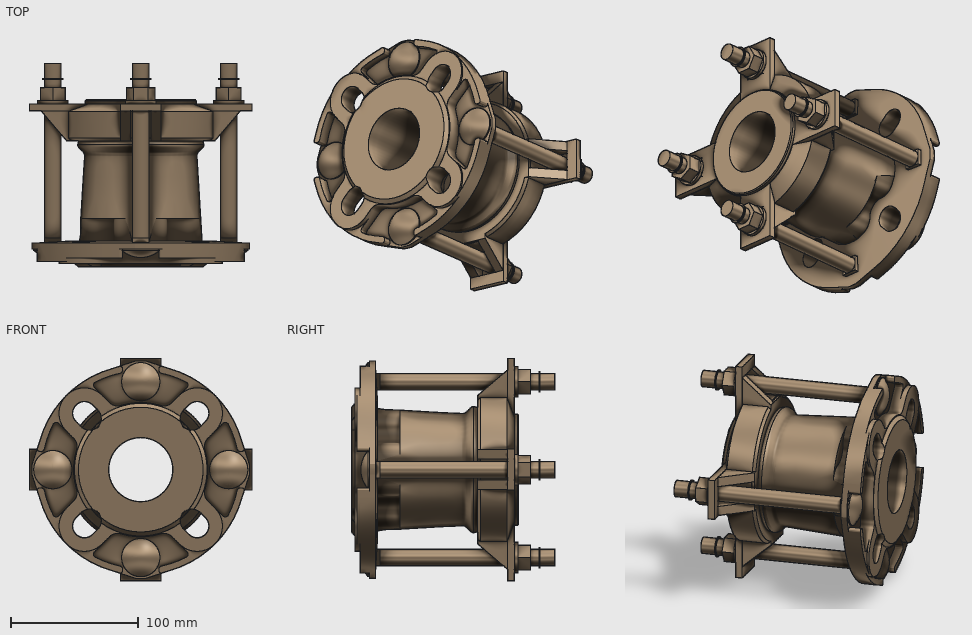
import cadquery as cq
import math


bore_diameter = 50.0
bolt_count = 4
bolt_radius = 68.7
cutter_reach = 104.4
selection_margin = 1.7
diagonal = 45

face_y = 0.0
pad_y = 2.6
side_rim_y = 4.2
end_rim_y = 6.8
pocket_floor_y = 14.0
plate_back_y = 18.8
hub_y = 20.4

flange_radius = 82.1
ear_tip_radius = 85.0
ear_half_width = 22.1
ear_flat_half_width = 4.2
ear_shoulder = 84.9
face_radius = 48.7
face_base_radius = 51.9

back_outer_radius = 80.0
back_hub_radius = 54.0

pocket_inner_radius = 52.5
pocket_outer_radius = 77.0
pocket_opening_half = 14.3
pocket_fillet = 2.6
rim_tip_fillet = 2.0
pad_root_fillet = 8.7
pad_half_width = 19.8
pad_web_radius = 59.2
slot_width = 18.3
slot_inner_centre = 56.5
slot_outer_centre = 62.3

barrel_base_radius = 48.0
barrel_top_radius = 44.0
barrel_top_y = 86.7
neck_radius = 45.5
neck_y = 90.1
collar_diameter = 99.0
collar_low_radius = 48.4
collar_low_y = 93.1
collar_y = 95.5
collar_top_radius = 48.9
collar_top_y = 97.6

recess_top_y = 37.8
recess_offset = 33.2
recess_radius = 12.5
recess_lip_radius = 12.9
recess_lip_slope = 22.0
recess_half_start = 5.2

gland_radius = 58.5
gland_front_y = 98.5
gland_edge_y = 100.7
gland_edge_radius = 56.4
gland_shoulder_y = 121.6
gland_top_radius = 44.0
sleeve_diameter = 87.0
sleeve_y = 130.7
sleeve_chamfer = 0.9

lug_reach = 87.0
lug_half_width = 16.0
lug_inner = 34.8
lug_front_y = 122.0
lug_back_y = 127.4
rib_inner_face = 8.2
rib_outer_face = 15.7
rib_top_reach = 78.0
rib_foot_reach = 58.0

rod_diameter = 13.0
rod_end_y = 159.0
square_neck_y = 22.5
head_diameter = 30.0
head_edge = 1.0
head_apex_y = 7.3
washer_diameter = 24.0
washer_back_y = 130.2
nut_flats = 19.5
nut_back_y = 140.0
ring_diameter = 16.0
ring_y = 146.9
ring_thickness = 0.7


def face_plane(y):
    """XZ work plane at height y; extrusions run toward -Y."""
    return cq.Workplane("XZ", origin=(0, y, 0))


def disc(diameter, front_y, back_y):
    return face_plane(back_y).circle(diameter / 2).extrude(back_y - front_y)


def turned(points):
    """Revolve (radius, y) points about the Y axis."""
    return cq.Workplane("XY").polyline(points).close().revolve(360, (0, 0, 0), (0, 1, 0))


def spin(shape, angle):
    return shape.rotate((0, 0, 0), (0, 1, 0), angle)


def around(shape, start_angle=0.0):
    """Copies of a shape at equal steps about the Y axis."""
    step = 360 / bolt_count
    copies = spin(shape, start_angle)
    for index in range(1, bolt_count):
        copies = copies.union(spin(shape, start_angle + index * step))
    return copies


def quarter_wedge(front_y, back_y):
    """Right-angled wedge from the axis that takes in the quarter facing +Z."""
    outline = [(0, 0), (cutter_reach, cutter_reach), (-cutter_reach, cutter_reach)]
    return face_plane(back_y).polyline(outline).close().extrude(back_y - front_y)


def capsule(width, inner_z, outer_z, front_y, back_y):
    """Round-ended bar along Z."""
    middle = (inner_z + outer_z) / 2
    length = outer_z - inner_z + width
    outline = face_plane(back_y).center(0, middle).slot2D(length, width, 90)
    return outline.extrude(back_y - front_y)


def flange_blank(front_y, back_y):
    """Round plate with a bulge at each bolt."""
    root_z = math.sqrt(flange_radius**2 - ear_half_width**2)
    ear = (
        face_plane(back_y)
        .moveTo(-ear_half_width, root_z)
        .lineTo(-ear_flat_half_width, ear_shoulder)
        .threePointArc((0, ear_tip_radius), (ear_flat_half_width, ear_shoulder))
        .lineTo(ear_half_width, root_z)
        .lineTo(0, 0)
        .close()
        .extrude(back_y - front_y)
    )
    return disc(2 * flange_radius, front_y, back_y).union(around(ear))


def make_rim():
    """Layer in front of the plate; its quarters facing X stand higher than those facing Z."""
    wedge = quarter_wedge(side_rim_y, end_rim_y)
    side_quarter = spin(flange_blank(side_rim_y, end_rim_y).intersect(wedge), 90)
    rim = flange_blank(end_rim_y, pocket_floor_y)
    return rim.union(side_quarter).union(spin(side_quarter, 180))


def make_pocket():
    """Cutter for the bolt-head pocket on the +Z side, open through the rim."""
    depth = pocket_floor_y - face_y
    bar = face_plane(pocket_floor_y).rect(2 * pad_half_width, 2 * cutter_reach).extrude(depth)
    sector = (
        face_plane(pocket_floor_y)
        .circle(pocket_outer_radius)
        .circle(pocket_inner_radius)
        .extrude(depth)
        .cut(spin(bar, diagonal))
        .cut(spin(bar, -diagonal))
    )
    opening_middle = (bolt_radius + cutter_reach) / 2
    opening = (
        face_plane(pocket_floor_y)
        .center(0, opening_middle)
        .rect(2 * pocket_opening_half, cutter_reach - bolt_radius)
        .extrude(depth)
    )
    pocket = sector.intersect(quarter_wedge(face_y, pocket_floor_y)).union(opening)

    def round_corners(low_z, high_z, radius):
        low = (-cutter_reach, face_y, low_z)
        high = (cutter_reach, pocket_floor_y, high_z)
        return pocket.edges("|Y").edges(cq.selectors.BoxSelector(low, high)).fillet(radius)

    rim_start = pocket_outer_radius * math.cos(math.radians(diagonal)) + selection_margin
    pocket = round_corners(0, rim_start, pad_root_fillet)
    return round_corners(rim_start, flange_radius, pocket_fillet)


def round_rim_tips(rim):
    """Round the outer corners where each pocket opens through the rim."""
    tip_half_width = pocket_opening_half + selection_margin
    tips = cq.selectors.BoxSelector(
        (-tip_half_width, face_y, flange_radius - 2 * selection_margin),
        (tip_half_width, pocket_floor_y, ear_tip_radius),
    )
    step = 360 / bolt_count
    for _ in range(bolt_count):
        rim = spin(rim.edges("|Y").edges(tips).fillet(rim_tip_fillet), step)
    return rim


def make_flange():
    pockets = around(make_pocket())
    rim = round_rim_tips(make_rim().cut(pockets))
    pad = capsule(2 * pad_half_width, 0, slot_outer_centre, pad_y, pocket_floor_y)
    pads = around(pad, diagonal).union(disc(2 * pad_web_radius, pad_y, pocket_floor_y))
    pads = pads.cut(pockets)
    flange = flange_blank(pocket_floor_y, plate_back_y).union(rim).union(pads)
    raised_face = turned([(0, face_y), (face_radius, face_y), (face_base_radius, pad_y), (0, pad_y)])
    back_cone = turned(
        [(0, plate_back_y), (back_outer_radius, plate_back_y), (back_hub_radius, hub_y), (0, hub_y)]
    )
    return flange.union(raised_face).union(back_cone)


def make_barrel():
    """Tapered barrel that flares through a hollow curve into the rounded collar."""
    collar_radius = collar_diameter / 2
    return (
        cq.Workplane("XY")
        .moveTo(0, plate_back_y)
        .lineTo(barrel_base_radius, plate_back_y)
        .lineTo(barrel_base_radius, hub_y)
        .lineTo(barrel_top_radius, barrel_top_y)
        .tangentArcPoint((neck_radius, neck_y), relative=False)
        .lineTo(collar_low_radius, collar_low_y)
        .tangentArcPoint((collar_radius, collar_y), relative=False)
        .lineTo(collar_top_radius, collar_top_y)
        .lineTo(collar_top_radius, gland_front_y)
        .lineTo(0, gland_front_y)
        .close()
        .revolve(360, (0, 0, 0), (0, 1, 0))
    )


def make_recess():
    """Cutter in the +X +Z corner: a hollow between two rounded lips."""
    slope = math.radians(recess_lip_slope)
    hollow_start = recess_offset - recess_radius
    hollow_middle = recess_offset - recess_radius * math.cos(math.radians(diagonal))
    lip_centre = hollow_start - recess_lip_radius

    def on_lip(angle):
        """Point of the lip arc, measured from the line where it meets the hollow."""
        across = lip_centre + recess_lip_radius * math.cos(angle)
        outward = recess_offset + recess_lip_radius * math.sin(angle)
        return across, outward

    lip_sweep = math.pi / 2 - slope
    lip_middle = on_lip(lip_sweep / 2)
    lip_end = on_lip(lip_sweep)
    edge = lip_end[1] + (lip_end[0] - recess_half_start) * math.tan(slope)
    outline = (
        face_plane(recess_top_y)
        .moveTo(recess_half_start, edge)
        .lineTo(*lip_end)
        .threePointArc(lip_middle, (hollow_start, recess_offset))
        .threePointArc((hollow_middle, hollow_middle), (recess_offset, hollow_start))
        .threePointArc(lip_middle[::-1], lip_end[::-1])
        .lineTo(edge, recess_half_start)
        .lineTo(cutter_reach, recess_half_start)
        .lineTo(cutter_reach, cutter_reach)
        .lineTo(recess_half_start, cutter_reach)
        .close()
    )
    return outline.extrude(recess_top_y - hub_y)


def make_lug():
    """Slotted bolt plate on the +X side with a triangular rib along each edge."""
    plate = cq.Workplane("XY").box(
        lug_reach - lug_inner, lug_back_y - lug_front_y, 2 * lug_half_width, centered=(False, False, True)
    )
    lug = plate.translate((lug_inner, lug_front_y, 0))
    for rib_start in (rib_inner_face, -rib_outer_face):
        rib = (
            cq.Workplane("XY", origin=(0, 0, rib_start))
            .moveTo(lug_inner, lug_front_y)
            .lineTo(rib_top_reach, lug_front_y)
            .lineTo(rib_foot_reach, gland_front_y)
            .lineTo(lug_inner, gland_front_y)
            .close()
            .extrude(rib_outer_face - rib_inner_face)
        )
        lug = lug.union(rib)
    toe = cq.Workplane("XY").box(
        rib_foot_reach - lug_inner, gland_shoulder_y - gland_front_y, 2 * rib_outer_face,
        centered=(False, False, True),
    )
    bolt_slot = cq.Workplane("XY").box(
        rib_top_reach - gland_radius, lug_back_y - lug_front_y, 2 * rib_inner_face,
        centered=(False, False, True),
    )
    lug = lug.union(toe.translate((lug_inner, gland_front_y, 0)))
    return lug.cut(bolt_slot.translate((gland_radius, lug_front_y, 0)))


def make_gland():
    ring = turned(
        [
            (0, gland_front_y),
            (gland_edge_radius, gland_front_y),
            (gland_radius, gland_edge_y),
            (gland_radius, gland_shoulder_y),
            (gland_top_radius, lug_back_y),
            (0, lug_back_y),
        ]
    )
    sleeve = disc(sleeve_diameter, lug_back_y, sleeve_y).faces(">Y").chamfer(sleeve_chamfer)
    return ring.union(around(make_lug())).union(sleeve)


def make_bolt():
    """Tie bolt on the +Z side: domed head, square neck, rod, washer, nut and thin ring."""
    head_radius = head_diameter / 2
    dome_base_y = pocket_floor_y - head_edge
    rise = dome_base_y - head_apex_y
    dome_radius = (head_radius**2 + rise**2) / (2 * rise)
    half_angle = math.asin(head_radius / dome_radius) / 2
    arc_middle = (
        dome_radius * math.sin(half_angle),
        head_apex_y + dome_radius * (1 - math.cos(half_angle)),
    )
    head = (
        cq.Workplane("XY")
        .moveTo(0, pocket_floor_y)
        .lineTo(head_radius, pocket_floor_y)
        .lineTo(head_radius, dome_base_y)
        .threePointArc(arc_middle, (0, head_apex_y))
        .close()
        .revolve(360, (0, 0, 0), (0, 1, 0))
    )
    nut_corners = nut_flats / math.cos(math.pi / 6)
    nut = face_plane(nut_back_y).polygon(6, nut_corners).extrude(nut_back_y - lug_back_y)
    neck_depth = square_neck_y - pocket_floor_y
    neck = face_plane(square_neck_y).rect(rod_diameter, rod_diameter).extrude(neck_depth)
    bolt = (
        disc(rod_diameter, pocket_floor_y, rod_end_y)
        .union(head)
        .union(neck)
        .union(disc(washer_diameter, lug_back_y, washer_back_y))
        .union(nut)
        .union(disc(ring_diameter, ring_y - ring_thickness / 2, ring_y + ring_thickness / 2))
    )
    return bolt.translate((0, 0, bolt_radius))


slot = capsule(slot_width, slot_inner_centre, slot_outer_centre, face_y, hub_y)

result = (
    make_flange()
    .union(make_barrel())
    .cut(around(slot, diagonal))
    .cut(around(make_recess()))
    .union(make_gland())
    .union(around(make_bolt()))
    .cut(disc(bore_diameter, face_y, sleeve_y))
)